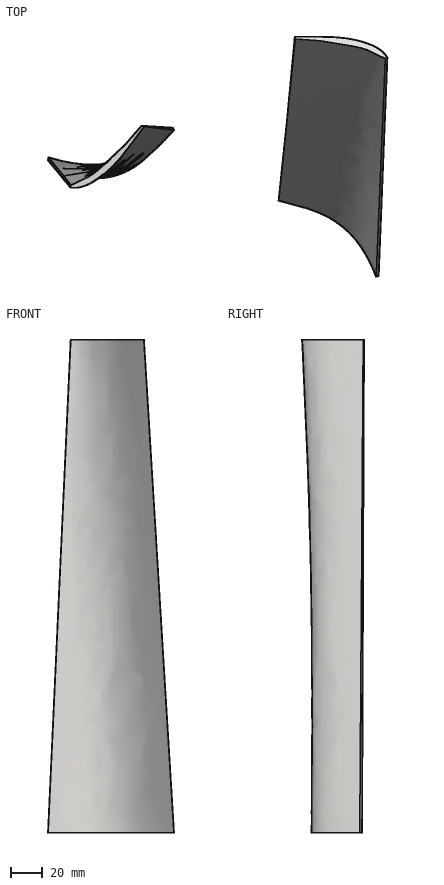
import cadquery as cq

blade_height = 310.5

root_convex_face = [(-39.7, -2.0), (-24.8, -10.2), (-6.8, -13.5), (11.5, -8.0), (22.0, -0.5), (39.7, 17.0)]
root_concave_face = [(-39.5, 0.0), (-25.5, -3.5), (-6.2, -4.5), (11.0, 0.0), (21.7, 6.0), (38.8, 18.5)]
tip_convex_face = [(-25.5, -19.2), (-19.2, -19.0), (-9.5, -14.5), (5.0, -1.5), (11.8, 7.0), (20.8, 19.2)]
tip_concave_face = [(-25.0, -17.7), (-20.2, -15.2), (-12.7, -11.5), (-3.0, -3.5), (5.5, 4.7), (19.2, 20.0)]


def add_section(plane, convex_face, concave_face):
    """Draw a closed blade section with narrow blunt ends."""
    return (
        plane.moveTo(*convex_face[0])
        .spline(convex_face[1:], includeCurrent=True)
        .lineTo(*concave_face[-1])
        .spline(concave_face[-2::-1], includeCurrent=True)
        .close()
    )


root_section = add_section(cq.Workplane("XY"), root_convex_face, root_concave_face)
tip_plane = root_section.workplane(offset=blade_height, origin=(0, 0, 0))
result = add_section(tip_plane, tip_convex_face, tip_concave_face).loft(ruled=True, combine=True)